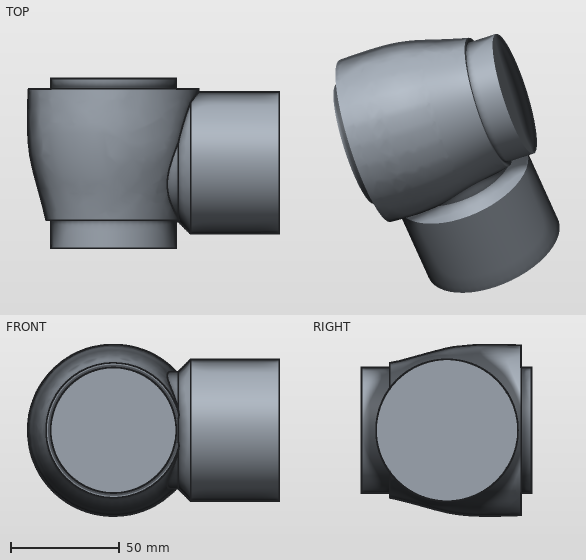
import cadquery as cq

overall_length = 116.2
overall_depth = 78.5

drum_radius = 39.6
drum_back_radius = 39.3
drum_mid_radius = 38.5
drum_taper_radius = 35.7
drum_front_radius = 31.1
drum_back = 34.2
drum_widest = 20.2
drum_mid = 2.8
drum_taper = -8.8
drum_length = 60.7
drum_front = drum_back - drum_length

boss_diameter = 58.0
boss_back = 39.0

port_diameter = 65.5
neck_diameter = 54.1
neck_end = 30.0
port_end = overall_length - drum_radius
cone_length = (port_diameter - neck_diameter) / 2


def make_drum():
    """Bulged back section blending smoothly into a taper to the front."""
    profile = (
        cq.Workplane("XY")
        .moveTo(0, drum_back)
        .lineTo(drum_back_radius, drum_back)
        .spline(
            [
                (drum_radius, drum_widest),
                (drum_mid_radius, drum_mid),
                (drum_taper_radius, drum_taper),
                (drum_front_radius, drum_front),
            ],
            includeCurrent=True,
        )
        .lineTo(0, drum_front)
        .close()
    )
    return profile.revolve(360, (0, 0, 0), (0, 1, 0))


def make_boss():
    """Round boss standing out at both ends of the drum."""
    return (
        cq.Workplane("XZ", origin=(0, boss_back, 0))
        .circle(boss_diameter / 2)
        .extrude(overall_depth)
    )


def make_port():
    """Neck from the drum axis, conical shoulder and port cylinder."""
    profile = (
        cq.Workplane("XY")
        .lineTo(0, neck_diameter / 2)
        .lineTo(neck_end, neck_diameter / 2)
        .lineTo(neck_end + cone_length, port_diameter / 2)
        .lineTo(port_end, port_diameter / 2)
        .lineTo(port_end, 0)
        .close()
    )
    return profile.revolve(360, (0, 0, 0), (1, 0, 0))


result = make_drum().union(make_boss()).union(make_port())